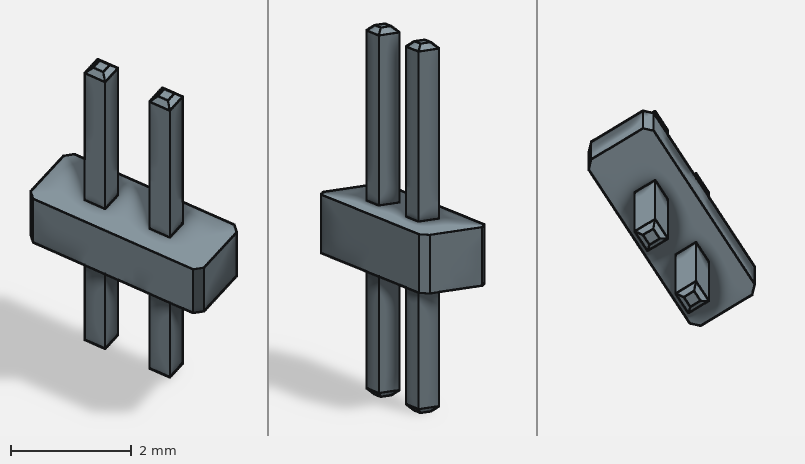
import cadquery as cq

pitch = 1.27
pin_count = 2

housing_length = 3.4
housing_width = pitch
housing_height = 1.0
corner_chamfer = 0.13

pin_side = 0.4
pin_above_housing = 3.0
pin_below_housing = 2.3
pin_length = pin_below_housing + housing_height + pin_above_housing
tip_chamfer = 0.1


def make_housing():
    """Rectangular block with its four upright edges chamfered."""
    block = cq.Workplane("XY").box(
        housing_length, housing_width, housing_height, centered=(True, True, False)
    )
    return block.edges("|Z").chamfer(corner_chamfer)


def make_pin(x):
    """Square pin at the given X, tapered at both tips."""
    pin = cq.Workplane("XY").box(
        pin_side, pin_side, pin_length, centered=(True, True, False)
    )
    pin = pin.faces("<Z or >Z").edges().chamfer(tip_chamfer)
    return pin.translate((x, 0, -pin_below_housing))


result = make_housing()
first_pin_x = -pitch * (pin_count - 1) / 2
for index in range(pin_count):
    result = result.union(make_pin(first_pin_x + index * pitch))